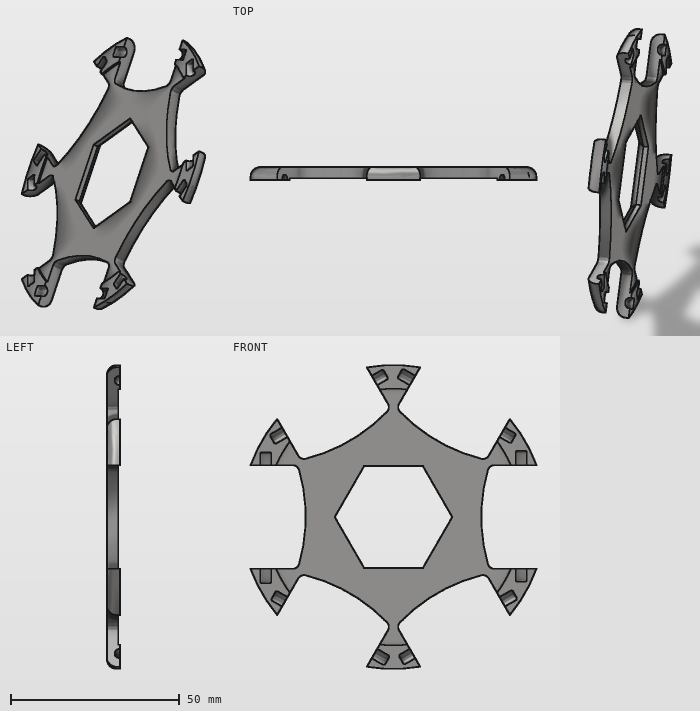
import cadquery as cq
import math

arm_count = 6
arm_pitch = 360 / arm_count
outer_radius = 45
thickness = 4.0

pad_height = 0.5
pad_inner_radius = 38.0
rim_round = 3.0

hexagon_across_flats = 30.1
straight_wall_depth = 1.5
flare_depth = thickness - pad_height - straight_wall_depth

window_half_width = 15.3
window_inner_radius = 26.0
window_arc_radius = 50.4
window_corner_radius = 2.0
window_outer_end = 49.5

pocket_radius = 1.6
deep_pocket_depth = 4.3
shallow_pocket_depth = 3.9
pocket_end_round = 0.5
pocket_distance = 37.8
pocket_overrun = 0.9


def repeat_around(shape):
    """Combine one copy of a shape per arm, spaced evenly about the Y axis."""
    copies = cq.Workplane("XZ")
    for i in range(arm_count):
        copies = copies.add(shape.rotate((0, 0, 0), (0, 1, 0), i * arm_pitch))
    return copies.combine()


def make_disc():
    """Round plate with a raised front ring and a rounded rear rim."""
    rim_middle = rim_round * math.sqrt(0.5)
    profile = (
        cq.Workplane("XY")
        .moveTo(0, pad_height)
        .lineTo(pad_inner_radius, pad_height)
        .lineTo(pad_inner_radius, 0)
        .lineTo(outer_radius, 0)
        .lineTo(outer_radius, thickness - rim_round)
        .threePointArc(
            (outer_radius - rim_round + rim_middle, thickness - rim_round + rim_middle),
            (outer_radius - rim_round, thickness),
        )
        .lineTo(0, thickness)
        .close()
    )
    return profile.revolve(360, (0, 0), (0, 1))


def make_window():
    """Cutter for the window on the +X side."""
    arc_rise = window_arc_radius - math.sqrt(window_arc_radius**2 - window_half_width**2)
    corner_x = window_inner_radius + arc_rise
    return (
        cq.Workplane("XZ")
        .moveTo(window_outer_end, -window_half_width)
        .lineTo(corner_x, -window_half_width)
        .threePointArc((window_inner_radius, 0), (corner_x, window_half_width))
        .lineTo(window_outer_end, window_half_width)
        .close()
        .extrude(-thickness)
        .edges("|Y")
        .edges("<X")
        .fillet(window_corner_radius)
    )


def make_pocket(depth):
    """Cutter for a pocket in the upper side of the +X window."""
    return (
        cq.Workplane("XY", origin=(pocket_distance, 0, window_half_width - pocket_overrun))
        .circle(pocket_radius)
        .extrude(depth + pocket_overrun)
        .faces(">Z")
        .edges()
        .fillet(pocket_end_round)
    )


def make_pocket_pair():
    """Cutters for the two pockets that open into the +X window; the lower one is shallower."""
    upper = make_pocket(deep_pocket_depth)
    lower = make_pocket(shallow_pocket_depth).mirror("XY")
    return upper.add(lower).combine()


def make_hexagon():
    """Cutter for the central opening, widening towards the back."""
    diameter_per_flat = 1 / math.cos(math.pi / 6)
    front_diameter = hexagon_across_flats * diameter_per_flat
    back_diameter = (hexagon_across_flats + 2 * flare_depth) * diameter_per_flat
    straight = cq.Workplane("XZ").polygon(6, front_diameter).extrude(-thickness)
    flare = (
        cq.Workplane("XZ", origin=(0, thickness - flare_depth, 0))
        .polygon(6, front_diameter)
        .workplane(offset=-flare_depth)
        .polygon(6, back_diameter)
        .loft()
    )
    return straight.union(flare)


result = (
    make_disc()
    .cut(make_hexagon())
    .cut(repeat_around(make_window()))
    .cut(repeat_around(make_pocket_pair()))
)